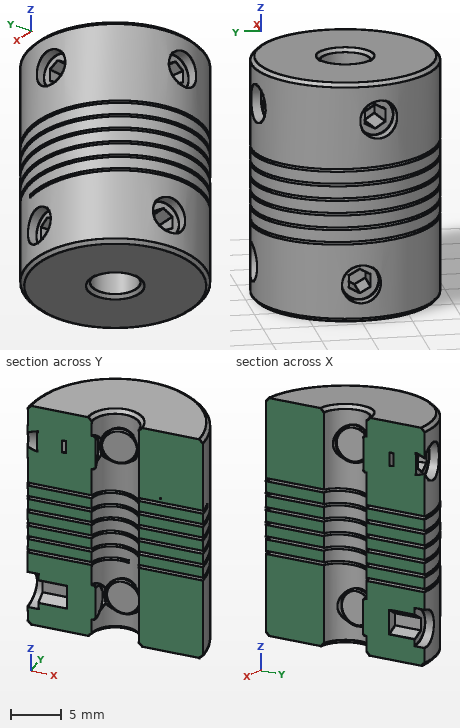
import cadquery as cq

height = 24.7
body_diameter = 18.8
bore_diameter = 5.0
edge_chamfer = 0.4

slit_pitch = 1.5
slit_width = 0.27
slit_turns = 5.8
slit_middle_height = 12.2
slit_middle_angle = 45.0
slit_overlap = 0.5

screw_end_distance = 3.9
screw_diameter = 3.9
screw_head_radius = 8.23
screw_tip_radius = 2.07
screw_head_chamfer = 0.07
screw_tip_chamfer = 0.2
socket_across_flats = 2.17
socket_depth = 3.05
lower_screw_turn = 0.0
upper_screw_turn = 11.0

body_radius = body_diameter / 2
bore_radius = bore_diameter / 2


def make_body():
    body = cq.Workplane("XY").circle(body_radius).extrude(height)
    body = body.faces("<Z or >Z").chamfer(edge_chamfer)
    bore = cq.Workplane("XY").circle(bore_radius).extrude(height)
    countersink = (
        cq.Workplane("XY")
        .circle(bore_radius + edge_chamfer)
        .workplane(offset=edge_chamfer)
        .circle(bore_radius)
        .loft()
    )
    top_countersink = countersink.mirror("XY").translate((0, 0, height))
    return body.cut(bore).cut(countersink).cut(top_countersink)


def make_slit():
    inner = bore_radius - slit_overlap
    outer = body_radius + slit_overlap
    rise = slit_pitch * slit_turns
    path = cq.Workplane(cq.Wire.makeHelix(slit_pitch, rise, body_radius))
    slit = (
        cq.Workplane("XZ")
        .center((inner + outer) / 2, 0)
        .rect(outer - inner, slit_width)
        .sweep(path, isFrenet=True)
    )
    start_angle = slit_middle_angle - 180 * slit_turns
    slit = slit.rotate((0, 0, 0), (0, 0, 1), start_angle)
    return slit.translate((0, 0, slit_middle_height - rise / 2))


def place_radially(shape, direction, z):
    """Turn a shape built along +X to the given direction and lift it to height z."""
    return shape.rotate((0, 0, 0), (0, 0, 1), direction).translate((0, 0, z))


def make_screw_hole():
    return cq.Workplane("YZ").circle(screw_diameter / 2).extrude(body_radius)


def make_screw():
    screw = (
        cq.Workplane("YZ", origin=(screw_tip_radius, 0, 0))
        .circle(screw_diameter / 2)
        .extrude(screw_head_radius - screw_tip_radius)
        .faces("<X")
        .chamfer(screw_tip_chamfer)
        .faces(">X")
        .chamfer(screw_head_chamfer)
    )
    socket = (
        cq.Workplane("YZ", origin=(screw_head_radius - socket_depth, 0, 0))
        .polygon(6, socket_across_flats, circumscribed=True)
        .extrude(socket_depth)
    )
    return screw.cut(socket)


result = make_body().cut(make_slit())
screw_rings = (
    (screw_end_distance, lower_screw_turn),
    (height - screw_end_distance, upper_screw_turn),
)
for z, turn in screw_rings:
    for direction in (90 + turn, 180 + turn):
        result = result.cut(place_radially(make_screw_hole(), direction, z))
        result = result.union(place_radially(make_screw(), direction, z))